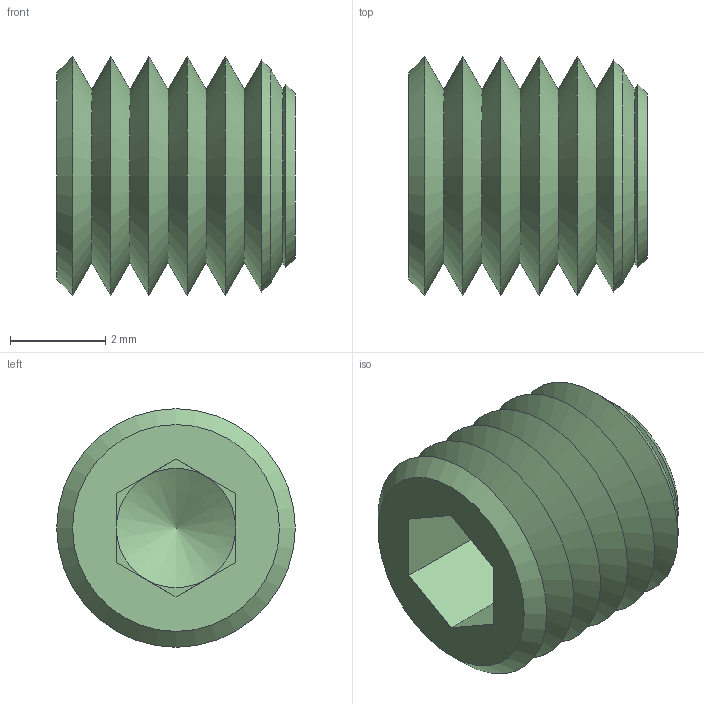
import cadquery as cq
import math

length = 5.0
major_radius = 2.5
pitch = 0.8
full_crest_count = 5
socket_face_radius = 2.167
tip_face_radius = 1.725
chamfer_slope = math.tan(math.radians(45))

flank_slope = math.tan(math.radians(60))
root_radius = major_radius - pitch / 2 * flank_slope
first_crest_x = (major_radius - socket_face_radius) / chamfer_slope

hex_across_flats = 2.5
hex_corner_diameter = hex_across_flats / math.cos(math.radians(30))
hex_depth = 2.0
drill_half_angle = math.radians(60)


def turned(profile):
    """Revolve a closed (x, radius) outline about the X axis."""
    return cq.Workplane("XZ").polyline(profile).close().revolve(360, (0, 0, 0), (1, 0, 0))


def tip_chamfer_crossing(flank_x, flank_radius, slope):
    """Point where a thread flank of the given slope meets the tip chamfer cone."""
    chamfer_radius = tip_face_radius + (length - flank_x) * chamfer_slope
    run = (chamfer_radius - flank_radius) / (slope + chamfer_slope)
    return (flank_x + run, flank_radius + slope * run)


def threaded_body():
    """Body with full crests, then a last crest and tip cut back by the tip chamfer."""
    profile = [(0, 0), (0, socket_face_radius)]
    for index in range(full_crest_count):
        crest_x = first_crest_x + index * pitch
        profile.append((crest_x, major_radius))
        profile.append((crest_x + pitch / 2, root_radius))

    last_crest_x = first_crest_x + full_crest_count * pitch
    last_root_x = last_crest_x + pitch / 2
    profile += [
        tip_chamfer_crossing(last_crest_x, major_radius, flank_slope),
        tip_chamfer_crossing(last_crest_x, major_radius, -flank_slope),
        (last_root_x, root_radius),
        tip_chamfer_crossing(last_root_x, root_radius, flank_slope),
        (length, tip_face_radius),
        (length, 0),
    ]
    return turned(profile)


def hex_socket():
    """Hexagonal socket, corners up and down, ending in a drill-point cone."""
    hexagon = (
        cq.Workplane("YZ")
        .polygon(6, hex_corner_diameter)
        .extrude(hex_depth)
        .rotate((0, 0, 0), (1, 0, 0), 90)
    )
    cone_radius = hex_across_flats / 2
    cone_depth = cone_radius / math.tan(drill_half_angle)
    cone = turned([(hex_depth, 0), (hex_depth, cone_radius), (hex_depth + cone_depth, 0)])
    return hexagon.union(cone)


result = threaded_body().cut(hex_socket())